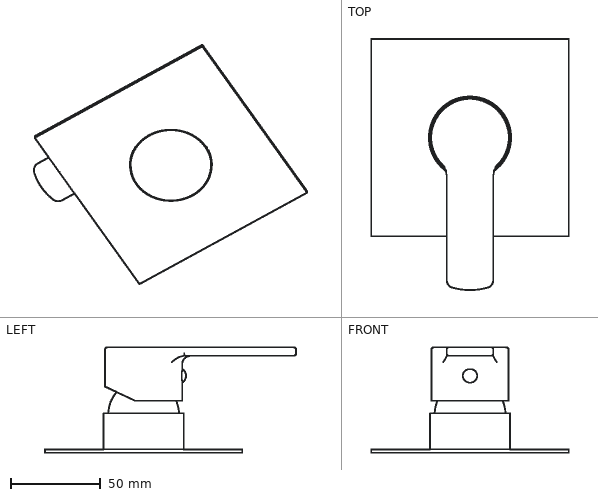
import cadquery as cq
import math

PLATE_SIDE = 110.0
PLATE_THICKNESS = 2.0
PLATE_HOLE_RADIUS = 22.8

SLEEVE_RADIUS = 22.4
SLEEVE_TOP = 22.1
SLEEVE_EDGE_ROUND = 0.5
DOME_RADIUS = 19.9
DOME_CENTER_Z = 21.0

TOTAL_HEIGHT = 58.8
TOTAL_LENGTH = 139.9
CAP_RADIUS = 21.5
CAP_BOTTOM = 28.8
UNDERCUT_START_Y = 4.5
UNDERCUT_END_Z = 36.8
LEVER_WIDTH = 26.0
LEVER_THICKNESS = 4.9
LEVER_TIP_RADIUS = 35.0
LEVER_CORNER_RADIUS = 4.5
EDGE_ROUND = 1.5
ROOT_SIDE_RADIUS = 10.1
ROOT_UNDER_RADIUS = 4.5
BUTTON_SPHERE_RADIUS = 4.5
BUTTON_PROTRUSION = 2.1
BUTTON_Z = 42.8

LEVER_HALF_WIDTH = LEVER_WIDTH / 2
LEVER_TIP_Y = PLATE_SIDE / 2 - TOTAL_LENGTH
LEVER_BOTTOM = TOTAL_HEIGHT - LEVER_THICKNESS
ROOT_BOTTOM = LEVER_BOTTOM - ROOT_UNDER_RADIUS
ROOT_OUTER_RADIUS = CAP_RADIUS + ROOT_UNDER_RADIUS


def make_plate():
    """Square wall plate with a round hole that clears the sleeve."""
    return (
        cq.Workplane("XY")
        .rect(PLATE_SIDE, PLATE_SIDE)
        .circle(PLATE_HOLE_RADIUS)
        .extrude(PLATE_THICKNESS)
    )


def make_sleeve():
    """Round sleeve with a rounded rim."""
    return (
        cq.Workplane("XY")
        .circle(SLEEVE_RADIUS)
        .extrude(SLEEVE_TOP)
        .faces(">Z")
        .edges()
        .fillet(SLEEVE_EDGE_ROUND)
    )


def make_dome():
    """Ball rising out of the sleeve to carry the handle."""
    return cq.Workplane("XY").sphere(DOME_RADIUS).translate((0, 0, DOME_CENTER_Z))


def make_cap():
    """Plain round cap, before its top edge is rounded."""
    return (
        cq.Workplane("XY")
        .workplane(offset=CAP_BOTTOM)
        .circle(CAP_RADIUS)
        .extrude(TOTAL_HEIGHT - CAP_BOTTOM)
    )


def make_lever():
    """Flat lever with a bowed tip, rounded corners and rounded lower edges."""
    bow = LEVER_TIP_RADIUS - math.sqrt(LEVER_TIP_RADIUS**2 - LEVER_HALF_WIDTH**2)
    slab = (
        cq.Workplane("XY")
        .workplane(offset=LEVER_BOTTOM)
        .moveTo(-LEVER_HALF_WIDTH, 0)
        .lineTo(-LEVER_HALF_WIDTH, LEVER_TIP_Y + bow)
        .threePointArc((0, LEVER_TIP_Y), (LEVER_HALF_WIDTH, LEVER_TIP_Y + bow))
        .lineTo(LEVER_HALF_WIDTH, 0)
        .close()
        .extrude(LEVER_THICKNESS)
    )
    slab = slab.edges("|Z").edges("<Y").fillet(LEVER_CORNER_RADIUS)
    return slab.faces("<Z").edges("not >Y").fillet(EDGE_ROUND)


def make_root():
    """Flared root that blends the cap into the sides and underside of the lever."""
    center_x = LEVER_HALF_WIDTH + ROOT_SIDE_RADIUS
    center_distance = CAP_RADIUS + ROOT_SIDE_RADIUS
    center_y = -math.sqrt(center_distance**2 - center_x**2)
    cap_x = center_x * CAP_RADIUS / center_distance
    cap_y = center_y * CAP_RADIUS / center_distance
    middle_angle = math.atan2(-center_y, -center_x) / 2 + math.pi / 2
    middle_x = center_x + ROOT_SIDE_RADIUS * math.cos(middle_angle)
    middle_y = center_y + ROOT_SIDE_RADIUS * math.sin(middle_angle)

    outline = (
        cq.Workplane("XY")
        .workplane(offset=ROOT_BOTTOM)
        .moveTo(cap_x, cap_y)
        .threePointArc((middle_x, middle_y), (LEVER_HALF_WIDTH, center_y))
        .lineTo(LEVER_HALF_WIDTH, -ROOT_OUTER_RADIUS)
        .lineTo(-LEVER_HALF_WIDTH, -ROOT_OUTER_RADIUS)
        .lineTo(-LEVER_HALF_WIDTH, center_y)
        .threePointArc((-middle_x, middle_y), (-cap_x, cap_y))
        .close()
        .extrude(TOTAL_HEIGHT - ROOT_BOTTOM)
    )
    blend_offset = ROOT_UNDER_RADIUS * (1 - math.sqrt(0.5))
    flare = (
        cq.Workplane("XZ")
        .moveTo(0, ROOT_BOTTOM)
        .lineTo(CAP_RADIUS, ROOT_BOTTOM)
        .threePointArc(
            (CAP_RADIUS + blend_offset, LEVER_BOTTOM - blend_offset),
            (ROOT_OUTER_RADIUS, LEVER_BOTTOM),
        )
        .lineTo(ROOT_OUTER_RADIUS, TOTAL_HEIGHT)
        .lineTo(0, TOTAL_HEIGHT)
        .close()
        .revolve(360, (0, 0, 0), (0, 1, 0))
    )
    return outline.intersect(flare)


def make_undercut():
    """Wedge that slopes the rear underside of the cap upward, giving the handle room to tilt."""
    return (
        cq.Workplane("YZ")
        .moveTo(UNDERCUT_START_Y, CAP_BOTTOM)
        .lineTo(CAP_RADIUS, UNDERCUT_END_Z)
        .lineTo(CAP_RADIUS, CAP_BOTTOM)
        .close()
        .extrude(CAP_RADIUS, both=True)
    )


def make_button():
    """Ball-shaped button set into the front of the cap."""
    center_y = BUTTON_SPHERE_RADIUS - BUTTON_PROTRUSION - CAP_RADIUS
    return cq.Workplane("XY").sphere(BUTTON_SPHERE_RADIUS).translate((0, center_y, BUTTON_Z))


def make_handle():
    """Cap, flared root and lever under one continuous rounded top edge, with the button."""
    handle = make_cap().union(make_root()).union(make_lever()).clean()
    handle = handle.faces(">Z").edges().fillet(EDGE_ROUND)
    return handle.cut(make_undercut()).union(make_button())


def make_mixer():
    """Sleeve, dome and handle as one body."""
    return make_sleeve().union(make_dome()).union(make_handle())


plate = make_plate()
mixer = make_mixer()

result = cq.Compound.makeCompound([plate.val(), mixer.val()])